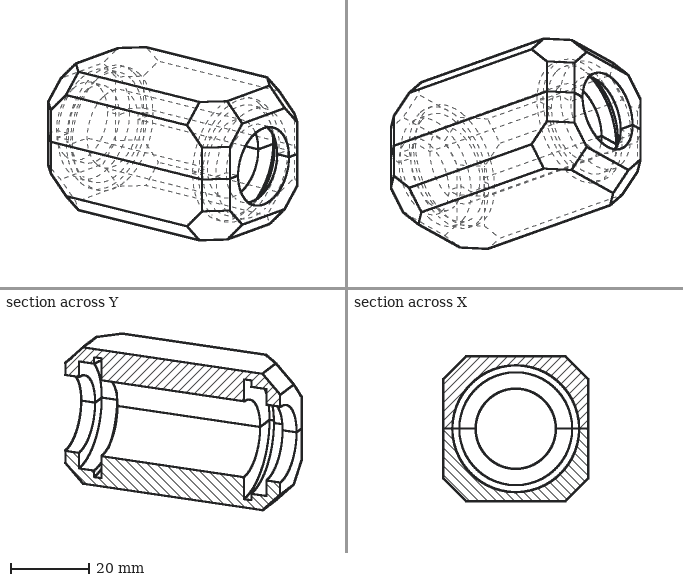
import cadquery as cq
import math

LENGTH = 60.0
WIDTH = 37.0
CORNER_CUT = 15.0
BEVEL = CORNER_CUT / 3

BORE_DIAMETER = 20.4
LIP_THICKNESS = 3.9
SEAT_DIAMETER = 28.8
SEAT_WIDTH = 4.25
GROOVE_DIAMETER = 32.3
GROOVE_WIDTH = 2.0

HALF_LENGTH = LENGTH / 2
HALF_WIDTH = WIDTH / 2
SEAT_START = HALF_LENGTH - LIP_THICKNESS
GROOVE_START = SEAT_START - SEAT_WIDTH


def bevelled_block(axis):
    """Block of the full outer size with only the edges along one axis bevelled."""
    block = cq.Workplane("XY").box(LENGTH, WIDTH, WIDTH)
    return block.edges(f"|{axis}").chamfer(BEVEL)


def corner_pyramid():
    """Upper pyramid |x| + |y| + z = reach, cut flat at the top of the housing.

    Its four sloping sides are the corner flats of the upper half.
    """
    reach = HALF_LENGTH + 2 * HALF_WIDTH - CORNER_CUT
    side_slope = math.degrees(math.atan(1 / math.sqrt(2)))
    base = [(reach, 0), (0, reach), (-reach, 0), (0, -reach)]
    return cq.Workplane("XY").polyline(base).close().extrude(HALF_WIDTH, taper=side_slope)


def disc_along_x(diameter, start, length):
    """Cylinder on the X axis, running from start toward the middle of the housing."""
    return cq.Workplane("YZ", origin=(start, 0, 0)).circle(diameter / 2).extrude(-length)


def bore_and_recesses():
    """Everything hollow inside the closed housing."""
    recess = disc_along_x(SEAT_DIAMETER, SEAT_START, SEAT_WIDTH)
    recess = recess.union(disc_along_x(GROOVE_DIAMETER, GROOVE_START, GROOVE_WIDTH))
    hollow = disc_along_x(BORE_DIAMETER, HALF_LENGTH, LENGTH)
    return hollow.union(recess).union(recess.mirror("YZ"))


def upper_shell():
    """Half of the housing above the parting plane Z = 0."""
    shell = corner_pyramid()
    for axis in ("X", "Y", "Z"):
        shell = shell.intersect(bevelled_block(axis))
    return shell.cut(bore_and_recesses())


upper = upper_shell()
shells = [upper, upper.mirror("XY")]

result = cq.Compound.makeCompound([shell.solids().val() for shell in shells])